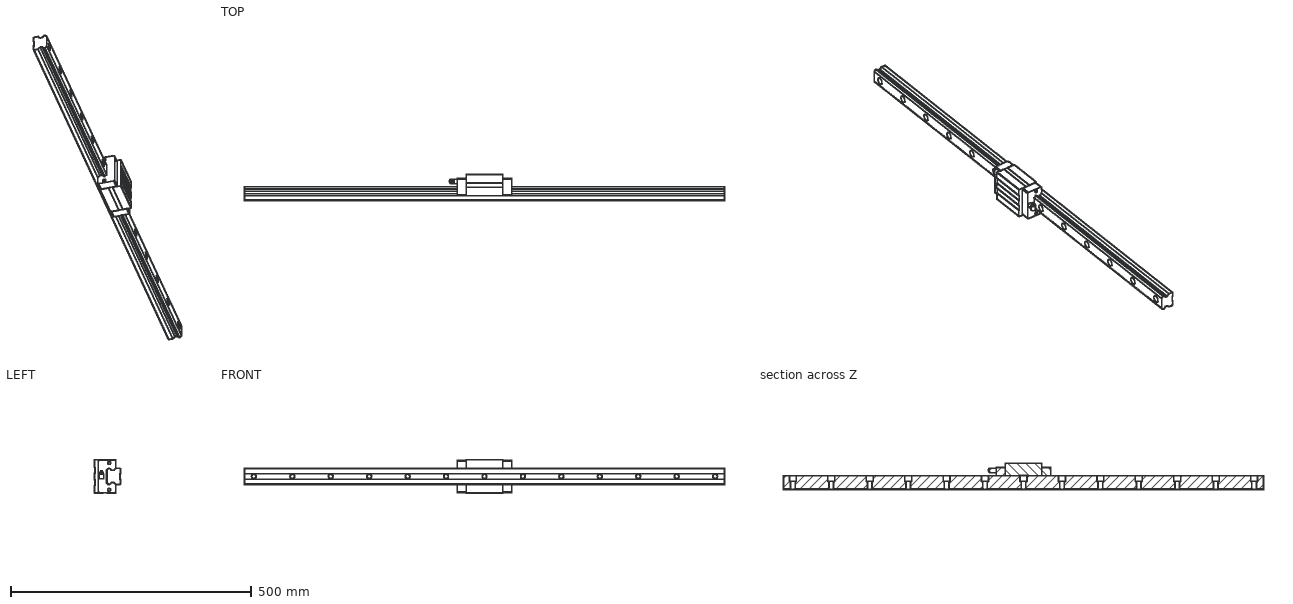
import cadquery as cq

TOTAL_HEIGHT = 55.0
BASE_Y = -TOTAL_HEIGHT / 2

RAIL_LENGTH = 1000.0
RAIL_HALF_WIDTH = 17.0
RAIL_HEIGHT = 29.0
RAIL_TOP_CHAMFER = 4.0
RAIL_BOTTOM_CHAMFER = 1.5
HEAD_FLAT = 1.5
RACEWAY_DEPTH = 4.5
RACEWAY_FLOOR = 4.5
KEYWAY_HALF_WIDTH = 6.0
KEYWAY_DEPTH = 1.0

HOLE_COUNT = 13
HOLE_PITCH = 80.0
HOLE_DIAMETER = 9.0
COUNTERBORE_DIAMETER = 14.0
COUNTERBORE_DEPTH = 12.0

BLOCK_HALF_WIDTH = 35.0
CARRIAGE_LENGTH = 114.0
CARRIAGE_CLEARANCE = 10.0
RUNNING_GAP = 0.2

BLOCK_LENGTH = 77.0
BLOCK_CHAMFER = 0.8
SIDE_GROOVE_TOP = 37.0
SIDE_GROOVE_BOTTOM = 28.0
SIDE_GROOVE_DEPTH = 0.6
TOP_GROOVE_INNER = 6.5
TOP_GROOVE_OUTER = 19.0
TOP_GROOVE_DEPTH = 1.0

CAP_LENGTH = (CARRIAGE_LENGTH - BLOCK_LENGTH) / 2
CAP_INSET = 1.0
CAP_HALF_WIDTH = BLOCK_HALF_WIDTH - CAP_INSET
CAP_DROP = 8.5
CAP_TOP = TOTAL_HEIGHT - CAP_DROP
CAP_CHAMFER = 2.0
SCREW_HOLE_DIAMETER = 6.0
SCREW_HOLE_DEPTH = 3.0
SCREW_HOLE_HEIGHT = 24.0
SCREW_HOLE_OFFSET = 28.0

NIPPLE_HEIGHT = 40.0
NIPPLE_REACH = 16.0
ELBOW_DIAMETER = 10.0
NECK_DIAMETER = 4.9
NECK_LENGTH = 3.0
HEAD_DIAMETER = 6.6
HEAD_LENGTH = 3.5
TIP_DIAMETER = 3.2


def cross_section(points):
    """Closed outline of (z, height) points on the plane across the middle of the rail."""
    plane = cq.Plane(origin=(0, BASE_Y, 0), xDir=(0, 0, 1), normal=(-1, 0, 0))
    return cq.Workplane(plane).polyline(points).close()


def mirrored(right_side):
    """Add the mirror image of one side of an outline, in the order that closes the loop."""
    return right_side + [(-z, height) for z, height in reversed(right_side)]


def rail_outline():
    head_top = RAIL_HEIGHT - RAIL_TOP_CHAMFER
    head_bottom = head_top - HEAD_FLAT
    floor_top = head_bottom - RACEWAY_DEPTH
    floor_bottom = floor_top - RACEWAY_FLOOR
    neck = RAIL_HALF_WIDTH - RACEWAY_DEPTH
    return mirrored([
        (RAIL_HALF_WIDTH - RAIL_BOTTOM_CHAMFER, 0),
        (RAIL_HALF_WIDTH, RAIL_BOTTOM_CHAMFER),
        (RAIL_HALF_WIDTH, floor_bottom - RACEWAY_DEPTH),
        (neck, floor_bottom),
        (neck, floor_top),
        (RAIL_HALF_WIDTH, head_bottom),
        (RAIL_HALF_WIDTH, head_top),
        (RAIL_HALF_WIDTH - RAIL_TOP_CHAMFER, RAIL_HEIGHT),
    ])


def make_rail():
    rail = cross_section(rail_outline()).extrude(RAIL_LENGTH / 2, both=True)
    keyway = cq.Workplane().box(RAIL_LENGTH, 2 * KEYWAY_DEPTH, 2 * KEYWAY_HALF_WIDTH)
    rail = rail.cut(keyway.translate((0, BASE_Y, 0)))
    top_face = cq.Plane(origin=(0, BASE_Y + RAIL_HEIGHT, 0), xDir=(1, 0, 0), normal=(0, 1, 0))
    return (
        rail.copyWorkplane(cq.Workplane(top_face))
        .rarray(HOLE_PITCH, 10, HOLE_COUNT, 1)
        .cboreHole(HOLE_DIAMETER, COUNTERBORE_DIAMETER, COUNTERBORE_DEPTH)
    )


def rail_channel():
    """The rail's outline grown by the running gap, as long as the carriage."""
    return cross_section(rail_outline()).offset2D(RUNNING_GAP, "intersection").extrude(
        CARRIAGE_LENGTH / 2, both=True
    )


def make_block():
    wall = BLOCK_HALF_WIDTH
    groove = BLOCK_HALF_WIDTH - SIDE_GROOVE_DEPTH
    top_floor = TOTAL_HEIGHT - TOP_GROOVE_DEPTH
    outline = mirrored([
        (wall, CARRIAGE_CLEARANCE),
        (wall, SIDE_GROOVE_BOTTOM),
        (groove, SIDE_GROOVE_BOTTOM),
        (groove, SIDE_GROOVE_TOP - SIDE_GROOVE_DEPTH),
        (wall, SIDE_GROOVE_TOP),
        (wall, TOTAL_HEIGHT - BLOCK_CHAMFER),
        (wall - BLOCK_CHAMFER, TOTAL_HEIGHT),
        (TOP_GROOVE_OUTER, TOTAL_HEIGHT),
        (TOP_GROOVE_OUTER, top_floor),
        (TOP_GROOVE_INNER, top_floor),
        (TOP_GROOVE_INNER, TOTAL_HEIGHT),
    ])
    return cross_section(outline).extrude(BLOCK_LENGTH / 2, both=True).cut(rail_channel())


def make_cap(side):
    """End cap on the -X (side = -1) or +X (side = 1) end of the block."""
    middle = side * (BLOCK_LENGTH + CAP_LENGTH) / 2
    cap_height = CAP_TOP - CARRIAGE_CLEARANCE
    cap = (
        cq.Workplane()
        .box(CAP_LENGTH, cap_height, 2 * CAP_HALF_WIDTH)
        .edges("|X")
        .chamfer(CAP_CHAMFER)
        .translate((middle, BASE_Y + CARRIAGE_CLEARANCE + cap_height / 2, 0))
        .cut(rail_channel())
    )
    outer_face = cq.Plane(
        origin=(side * CARRIAGE_LENGTH / 2, BASE_Y + SCREW_HOLE_HEIGHT, 0),
        xDir=(0, -1, 0),
        normal=(side, 0, 0),
    )
    screw_holes = (
        cq.Workplane(outer_face)
        .pushPoints([(0, -SCREW_HOLE_OFFSET), (0, SCREW_HOLE_OFFSET)])
        .circle(SCREW_HOLE_DIAMETER / 2)
        .extrude(-SCREW_HOLE_DEPTH)
    )
    return cap.cut(screw_holes)


def make_nipple():
    """Stem out of the cap, then an upright with a thinner neck and a tapered head."""
    cap_face_x = -CARRIAGE_LENGTH / 2
    axis_y = BASE_Y + NIPPLE_HEIGHT
    radius = ELBOW_DIAMETER / 2
    bend_x = cap_face_x - NIPPLE_REACH + radius
    stem = (
        cq.Workplane("YZ", origin=(bend_x, axis_y, 0))
        .circle(radius)
        .extrude(cap_face_x - bend_x)
    )
    upright = (
        cq.Workplane("XY", origin=(bend_x, axis_y, -radius))
        .circle(radius)
        .extrude(ELBOW_DIAMETER)
    )
    neck = (
        cq.Workplane("XY", origin=(bend_x, axis_y, radius))
        .circle(NECK_DIAMETER / 2)
        .extrude(NECK_LENGTH)
    )
    head = (
        cq.Workplane("XY", origin=(bend_x, axis_y, radius + NECK_LENGTH))
        .circle(HEAD_DIAMETER / 2)
        .workplane(offset=HEAD_LENGTH)
        .circle(TIP_DIAMETER / 2)
        .loft()
    )
    return upright.union(stem).union(neck).union(head)


rail = make_rail()
block = make_block()
caps = [make_cap(side) for side in (-1, 1)]
nipple = make_nipple()

result = cq.Compound.makeCompound(
    [rail.val(), block.val(), *[cap.val() for cap in caps], nipple.val()]
)